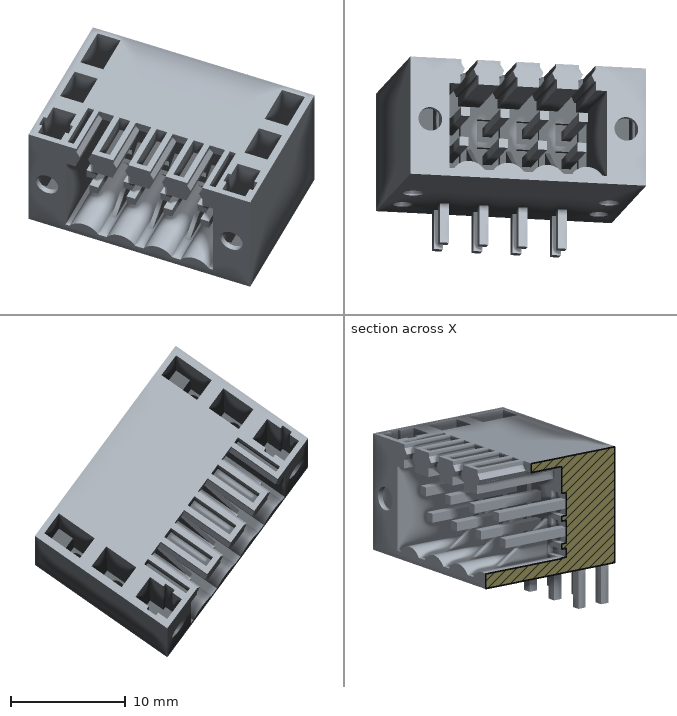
import cadquery as cq

WIDTH = 21.0
DEPTH = 14.2
HEIGHT = 10.5

PITCH = 3.5
COLUMNS = 4
ROW_PITCH = 2.5
LOWER_PIN_Z = 3.7
PIN_SIZE = 0.8
LEG_LENGTH = 3.5
REAR_LEG_Y = 13.07
UPPER_PIN_TIP_Y = 1.5
LOWER_PIN_TIP_Y = 2.2

CAVITY_WIDTH = COLUMNS * PITCH
CAVITY_DEPTH = 8.3
CAVITY_FLOOR_Z = 0.7
CAVITY_ROOF_Z = 8.3

RIDGE_HALF_WIDTH = 1.35
RIDGE_HEIGHT = 0.72

RIB_THICKNESS = 0.4
RIB_FRONT_Y = 2.5
RIB_TOP_Z = 4.5

RECESS_DEPTH = 0.5
PIN_RECESS_SIZE = 2.02
BAR_RECESS_WIDTH = 2.95
BAR_RECESS_HEIGHT = 0.76

CODING_DEPTH = 5.0
CODING_LOWER_HALF_WIDTH = 0.8
CODING_SHOULDER_HALF_WIDTH = 0.64
CODING_NECK_HALF_WIDTH = 0.4
CODING_TOP_HALF_WIDTH = 0.72
CODING_SHOULDER_Z = 9.12
CODING_NECK_Z = 9.65
CODING_FLARE_TOP_Z = 10.15

RELIEF_WIDTH = 1.0
END_RELIEF_WIDTH = 0.57
RELIEF_DEPTH = 1.5
FRONT_WALL = 0.5

FLANGE_X = 8.73
POCKET_WIDTH = 2.18
POCKET_FLOOR_Z = 2.0
NUT_POCKET_BACK_Y = 3.9
NUT_SLOT_WIDTH = 2.8
NUT_SLOT_FRONT_Y = 1.48
NUT_SLOT_BACK_Y = 2.47
FRONT_HOLE_DIAMETER = 2.1
FRONT_HOLE_Z = 5.0
WALL_LEAN = 0.1
MIDDLE_POCKET_FRONT_Y = 5.38
MIDDLE_POCKET_BACK_Y = 8.6
MIDDLE_HOLE_Y = 6.95
MIDDLE_HOLE_DIAMETER = 1.8
REAR_POCKET_FRONT_Y = 9.85
REAR_POCKET_BACK_Y = 13.67
REAR_POCKET_STEP_Y = 12.17
REAR_POCKET_LEDGE_Z = 5.0
REAR_HOLE_Y = 11.25
REAR_HOLE_DIAMETER = 1.7

UPPER_PIN_Z = LOWER_PIN_Z + ROW_PITCH
FRONT_LEG_Y = REAR_LEG_Y - ROW_PITCH
COLUMN_X = [(i - (COLUMNS - 1) / 2) * PITCH for i in range(COLUMNS)]
GAP_X = [(i - (COLUMNS - 2) / 2) * PITCH for i in range(COLUMNS - 1)]


def block(x_center, width, y0, y1, z0, z1):
    """Box centred on x_center, spanning y0..y1 and z0..z1."""
    return cq.Workplane("XY").box(width, y1 - y0, z1 - z0, centered=(True, False, False)).translate(
        (x_center, y0, z0)
    )


def front_plane():
    """Sketch plane on the front face; negative extrusions run toward the rear."""
    return cq.Workplane("XZ")


def side_prism(x_center, width, points):
    """Prism along X with a (y, z) outline."""
    return cq.Workplane("YZ", origin=(x_center, 0, 0)).polyline(points).close().extrude(width / 2, both=True)


def floor_ridge(x):
    """Round-topped ridge running the full depth of the cavity floor."""
    return (
        front_plane()
        .moveTo(x - RIDGE_HALF_WIDTH, CAVITY_FLOOR_Z)
        .threePointArc((x, CAVITY_FLOOR_Z + RIDGE_HEIGHT), (x + RIDGE_HALF_WIDTH, CAVITY_FLOOR_Z))
        .close()
        .extrude(-CAVITY_DEPTH)
    )


def rib(x):
    """Thin triangular rib rising from the floor to the rear wall of the cavity."""
    outline = [
        (RIB_FRONT_Y, CAVITY_FLOOR_Z),
        (CAVITY_DEPTH, CAVITY_FLOOR_Z),
        (CAVITY_DEPTH, RIB_TOP_Z),
    ]
    return side_prism(x, RIB_THICKNESS, outline)


def wall_recesses(x):
    """Two square recesses around the pins and a bar-shaped one above the ridge."""
    y1 = CAVITY_DEPTH + RECESS_DEPTH
    bar_z = CAVITY_FLOOR_Z + RIDGE_HEIGHT
    cuts = block(x, BAR_RECESS_WIDTH, CAVITY_DEPTH, y1, bar_z, bar_z + BAR_RECESS_HEIGHT)
    half = PIN_RECESS_SIZE / 2
    for z in (LOWER_PIN_Z, UPPER_PIN_Z):
        cuts = cuts.union(block(x, PIN_RECESS_SIZE, CAVITY_DEPTH, y1, z - half, z + half))
    return cuts


def coding_slot(x):
    """Waisted slot through the roof; the part below the waist runs to the cavity's rear wall."""
    lower_half = [
        (CODING_LOWER_HALF_WIDTH, CAVITY_ROOF_Z),
        (CODING_LOWER_HALF_WIDTH, CODING_SHOULDER_Z),
        (CODING_SHOULDER_HALF_WIDTH, CODING_SHOULDER_Z),
        (CODING_NECK_HALF_WIDTH, CODING_NECK_Z),
    ]
    upper_half = [
        (CODING_NECK_HALF_WIDTH, CODING_NECK_Z),
        (CODING_TOP_HALF_WIDTH, CODING_FLARE_TOP_Z),
        (CODING_TOP_HALF_WIDTH, HEIGHT),
    ]

    def mirrored_prism(half_outline, depth):
        right = [(x + dx, z) for dx, z in half_outline]
        left = [(x - dx, z) for dx, z in reversed(half_outline)]
        return front_plane().polyline(right + left).close().extrude(-depth)

    return mirrored_prism(lower_half, CAVITY_DEPTH).union(mirrored_prism(upper_half, CODING_DEPTH))


def relief_slots():
    """Blind slots in the top face."""
    end_x = (CAVITY_WIDTH - END_RELIEF_WIDTH) / 2
    slots = [(x, RELIEF_WIDTH) for x in GAP_X] + [(-end_x, END_RELIEF_WIDTH), (end_x, END_RELIEF_WIDTH)]
    cuts = cq.Workplane("XY")
    for x, width in slots:
        cuts = cuts.add(block(x, width, FRONT_WALL, CODING_DEPTH, HEIGHT - RELIEF_DEPTH, HEIGHT))
    return cuts.combine()


def flange_cuts(x):
    """Nut pocket with its front hole, and two pockets with holes through the underside."""
    nut_pocket = block(x, POCKET_WIDTH, FRONT_WALL, NUT_POCKET_BACK_Y, POCKET_FLOOR_Z, HEIGHT)
    nut_slot = block(x, NUT_SLOT_WIDTH, NUT_SLOT_FRONT_Y, NUT_SLOT_BACK_Y, POCKET_FLOOR_Z, HEIGHT)
    front_hole = (
        front_plane().center(x, FRONT_HOLE_Z).circle(FRONT_HOLE_DIAMETER / 2).extrude(-NUT_SLOT_FRONT_Y)
    )
    middle_pocket = side_prism(
        x,
        POCKET_WIDTH,
        [
            (MIDDLE_POCKET_FRONT_Y, POCKET_FLOOR_Z),
            (MIDDLE_POCKET_BACK_Y - WALL_LEAN, POCKET_FLOOR_Z),
            (MIDDLE_POCKET_BACK_Y, HEIGHT),
            (MIDDLE_POCKET_FRONT_Y, HEIGHT),
        ],
    )
    rear_pocket = side_prism(
        x,
        POCKET_WIDTH,
        [
            (REAR_POCKET_FRONT_Y, POCKET_FLOOR_Z),
            (REAR_POCKET_STEP_Y - WALL_LEAN, POCKET_FLOOR_Z),
            (REAR_POCKET_STEP_Y, REAR_POCKET_LEDGE_Z),
            (REAR_POCKET_BACK_Y, REAR_POCKET_LEDGE_Z),
            (REAR_POCKET_BACK_Y, HEIGHT),
            (REAR_POCKET_FRONT_Y, HEIGHT),
        ],
    )
    cuts = nut_pocket.union(nut_slot).union(front_hole).union(middle_pocket).union(rear_pocket)
    for y, diameter in ((MIDDLE_HOLE_Y, MIDDLE_HOLE_DIAMETER), (REAR_HOLE_Y, REAR_HOLE_DIAMETER)):
        cuts = cuts.union(cq.Workplane("XY").center(x, y).circle(diameter / 2).extrude(POCKET_FLOOR_Z))
    return cuts


def bent_pin(x, tip_y, pin_z, leg_y):
    """Right-angle square pin: a contact in the cavity and a solder leg below the housing."""
    half = PIN_SIZE / 2
    contact = block(x, PIN_SIZE, tip_y, leg_y + half, pin_z - half, pin_z + half)
    leg = block(x, PIN_SIZE, leg_y - half, leg_y + half, -LEG_LENGTH, pin_z + half)
    return contact.union(leg)


result = block(0, WIDTH, 0, DEPTH, 0, HEIGHT)
result = result.cut(block(0, CAVITY_WIDTH, 0, CAVITY_DEPTH, CAVITY_FLOOR_Z, CAVITY_ROOF_Z))
result = result.cut(relief_slots())
for flange_x in (-FLANGE_X, FLANGE_X):
    result = result.cut(flange_cuts(flange_x))
for gap_x in GAP_X:
    result = result.union(rib(gap_x))
for column_x in COLUMN_X:
    result = result.cut(coding_slot(column_x)).cut(wall_recesses(column_x))
    result = result.union(floor_ridge(column_x))
    result = result.union(bent_pin(column_x, UPPER_PIN_TIP_Y, UPPER_PIN_Z, REAR_LEG_Y))
    result = result.union(bent_pin(column_x, LOWER_PIN_TIP_Y, LOWER_PIN_Z, FRONT_LEG_Y))